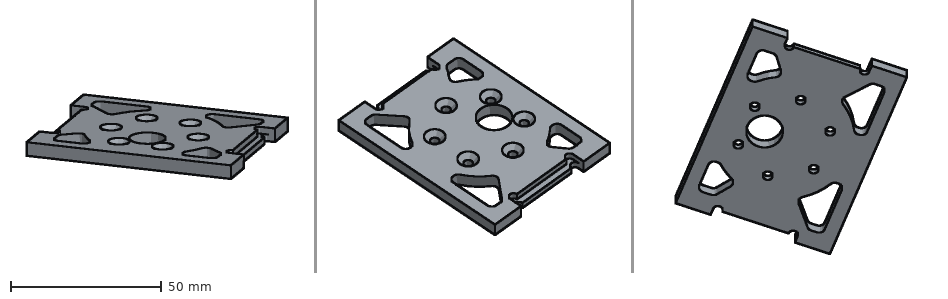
import cadquery as cq
import math

length = 72.5
width = 55.0
thickness = 4.8

notch_half_width = 15.0
notch_depth = 2.5
step_depth = 5.0
step_height = thickness / 2
relief_radius = 1.6

ring_center_y = -2.5
ring_radius = 15.5
ring_hole_count = 6
screw_diameter = 3.2
countersink_diameter = 7.2
countersink_angle = 90.0

shaft_diameter = 12.2
shaft_offset = 7.0
shaft_center_y = ring_center_y - shaft_offset

rim = 5.0
window_y = width / 2 - rim
hub_radius = 23.5
window_fillet = 2.0
upper_outer_x = 30.0
upper_inner_x = 10.0
upper_slant_start_y = 17.5
upper_slant_angle = 39.0
lower_outer_x = 29.0
lower_inner_x = 16.6
lower_slant_start_y = -16.5
lower_slant_angle = 36.0


def mirrored_pair(solid):
    """The solid together with its mirror image across the YZ plane."""
    return solid.union(solid.mirror("YZ"))


def side_notch(depth, floor_z):
    """Notch in the -X side from floor_z to the top, with round corner reliefs."""
    height = thickness - floor_z
    edge_x = -length / 2 + depth
    relief_y = notch_half_width - relief_radius
    base = cq.Workplane("XY").workplane(offset=floor_z)
    slot = base.center(edge_x - depth / 2, 0).rect(depth, 2 * notch_half_width).extrude(height)
    reliefs = (
        base.pushPoints([(edge_x, relief_y), (edge_x, -relief_y)])
        .circle(relief_radius)
        .extrude(height)
    )
    return slot.union(reliefs)


def window(outline):
    """Through window: the outline less the hub, with every corner rounded."""
    hub = cq.Workplane("XY").center(0, ring_center_y).circle(hub_radius).extrude(thickness)
    blank = cq.Workplane("XY").polyline(outline).close().extrude(thickness)
    return blank.cut(hub).edges("|Z").fillet(window_fillet)


def upper_window():
    """Window in the (-X, +Y) corner."""
    run = upper_outer_x - upper_inner_x
    slant_end_y = upper_slant_start_y - run * math.tan(math.radians(upper_slant_angle))
    return window([
        (-upper_outer_x, window_y),
        (-upper_inner_x, window_y),
        (-upper_inner_x, slant_end_y),
        (-upper_outer_x, upper_slant_start_y),
    ])


def lower_window():
    """Window in the (-X, -Y) corner."""
    run = lower_outer_x - lower_inner_x
    slant_end_y = lower_slant_start_y + run * math.tan(math.radians(lower_slant_angle))
    return window([
        (-lower_outer_x, -window_y),
        (-lower_inner_x, -window_y),
        (-lower_inner_x, slant_end_y),
        (-lower_outer_x, lower_slant_start_y),
    ])


def shaft_hole():
    """Plain through hole for the shaft, below the ring centre."""
    return cq.Workplane("XY").center(0, shaft_center_y).circle(shaft_diameter / 2).extrude(thickness)


def add_screw_ring(body):
    """Drill the ring of through holes, countersunk from the top face."""
    return (
        body.faces(">Z")
        .workplane(origin=(0, ring_center_y, thickness))
        .polarArray(ring_radius, 0, 360, ring_hole_count)
        .cskHole(screw_diameter, countersink_diameter, countersink_angle)
    )


plate = cq.Workplane("XY").box(length, width, thickness, centered=(True, True, False))

paired_cuts = [
    side_notch(notch_depth, 0),
    side_notch(step_depth, step_height),
    upper_window(),
    lower_window(),
]
for cutter in paired_cuts:
    plate = plate.cut(mirrored_pair(cutter))

plate = plate.cut(shaft_hole())
result = add_screw_ring(plate)